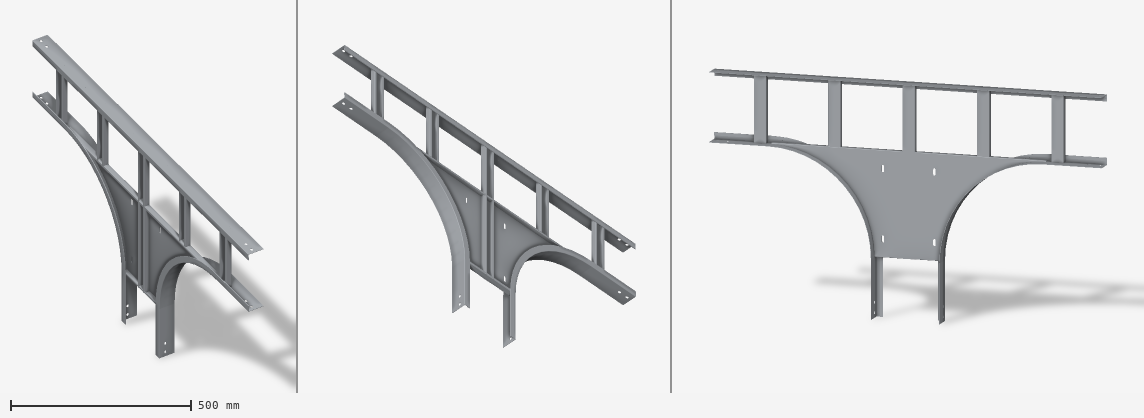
import cadquery as cq


ladder_width = 200.0
branch_width = 200.8
bend_radius = 300.0
straight_end = 172.6
straight_rail_shortfall = 0.8

half_width = ladder_width / 2
half_branch = branch_width / 2
bend_center_x = half_branch + bend_radius
bend_center_z = -half_width - bend_radius
arm_reach = bend_center_x + straight_end
branch_foot_z = bend_center_z - straight_end
straight_rail_length = 2 * arm_reach - straight_rail_shortfall

sheet = 1.2
fold_radius = 1.5
rail_depth = 50.0
flange_width = 20.0
hem_length = 9.0
hem_thickness = 2 * sheet

channel_front = hem_thickness
channel_back = 19.5
channel_middle = (channel_front + channel_back) / 2
lip_width = 7.0
rung_width = 36.0
rung_pitch = 217.0
tray_inset = 4.0
tray_top = -half_width + tray_inset
tray_bottom = bend_center_z

splice_slot_length = 10.0
splice_slot_width = 7.0
splice_slot_y = 20.0
splice_slot_offsets = (15.0, 45.0)

tray_slot_length = 21.0
tray_slot_width = 7.0
tray_slot_x = 75.0
tray_slot_spacing = 200.0


def box(x_range, y_range, z_range):
    """Box spanning the given (low, high) ranges."""
    size = [high - low for low, high in (x_range, y_range, z_range)]
    block = cq.Workplane("XY").box(*size, centered=False)
    return block.translate((x_range[0], y_range[0], z_range[0]))


def rail_section(start_x, web_z, inward):
    """L section in the YZ plane; inward is the Z direction (+1 or -1) of the flange."""

    def point(y, height):
        return (y, web_z + inward * height)

    bend_middle = fold_radius * (1 - 0.5 ** 0.5)
    return (
        cq.Workplane("YZ", origin=(start_x, 0, 0))
        .moveTo(*point(fold_radius, 0))
        .threePointArc(point(bend_middle, bend_middle), point(0, fold_radius))
        .lineTo(*point(0, flange_width))
        .lineTo(*point(hem_thickness, flange_width))
        .lineTo(*point(hem_thickness, flange_width - hem_length))
        .lineTo(*point(sheet, flange_width - hem_length))
        .lineTo(*point(sheet, sheet))
        .lineTo(*point(rail_depth, sheet))
        .lineTo(*point(rail_depth, 0))
        .close()
    )


def straight_rail():
    return rail_section(-arm_reach, half_width, -1).extrude(straight_rail_length)


def bent_rail():
    """Left-hand rail from the arm end, round the bend and down the branch."""
    mid_reach = bend_radius * 0.5 ** 0.5
    path = (
        cq.Workplane("XZ")
        .moveTo(-arm_reach, -half_width)
        .lineTo(-bend_center_x, -half_width)
        .threePointArc(
            (-bend_center_x + mid_reach, bend_center_z + mid_reach),
            (-half_branch, bend_center_z),
        )
        .lineTo(-half_branch, branch_foot_z)
    )
    return rail_section(-arm_reach, -half_width, 1).sweep(path)


def rung(center_x, bottom_z):
    """Lipped channel running up to the web of the straight rail."""
    half = rung_width / 2
    z_range = (bottom_z, half_width - sheet)
    outer = box((center_x - half, center_x + half), (channel_front, channel_back), z_range)
    outer = outer.edges("|Z").fillet(fold_radius)
    inner_half = half - sheet
    cavity = box(
        (center_x - inner_half, center_x + inner_half),
        (channel_front + sheet, channel_back - sheet),
        z_range,
    )
    mouth_half = half - lip_width
    mouth = box((center_x - mouth_half, center_x + mouth_half), (0, channel_middle), z_range)
    return outer.cut(cavity).cut(mouth)


def gusset_tray():
    """Tray between the two bends, with lipped flanges along its top and bottom."""
    reach = (-bend_center_x, bend_center_x)
    outer = box(reach, (channel_front, channel_back), (tray_bottom, tray_top))
    outer = outer.edges("|X").fillet(fold_radius)
    cavity = box(
        reach,
        (channel_front + sheet, channel_back - sheet),
        (tray_bottom + sheet, tray_top - sheet),
    )
    mouth = box(reach, (0, channel_middle), (tray_bottom + lip_width, tray_top - lip_width))
    tray = outer.cut(cavity).cut(mouth)
    for side in (-1, 1):
        bend_space = (
            cq.Workplane("XZ")
            .center(side * bend_center_x, bend_center_z)
            .circle(bend_radius + sheet / 2)
            .extrude(-rail_depth)
        )
        tray = tray.cut(bend_space)
    return tray


def tray_slots():
    middle_z = (tray_top + tray_bottom) / 2
    return (
        cq.Workplane("XZ")
        .center(0, middle_z)
        .rarray(2 * tray_slot_x, tray_slot_spacing, 2, 2)
        .slot2D(tray_slot_length, tray_slot_width, 90)
        .extrude(-rail_depth)
    )


def arm_splice_slots(left_end, right_end, web_z):
    """Cutters through a horizontal web, measured from the given rail ends."""
    places = []
    for offset in splice_slot_offsets:
        places.append((left_end + offset, splice_slot_y))
        places.append((right_end - offset, splice_slot_y))
    return (
        cq.Workplane("XY", origin=(0, 0, web_z))
        .pushPoints(places)
        .slot2D(splice_slot_length, splice_slot_width)
        .extrude(flange_width, both=True)
    )


def branch_splice_slots():
    """Cutters through the webs of both branch legs."""
    places = [(splice_slot_y, branch_foot_z + offset) for offset in splice_slot_offsets]
    return (
        cq.Workplane("YZ")
        .pushPoints(places)
        .slot2D(splice_slot_length, splice_slot_width, 90)
        .extrude(branch_width, both=True)
    )


result = straight_rail()
result = result.union(bent_rail())
result = result.union(bent_rail().mirror("YZ"))
result = result.union(gusset_tray())

result = result.union(rung(0, tray_bottom))
for side in (-1, 1):
    result = result.union(rung(side * rung_pitch, tray_top))
    result = result.union(rung(side * 2 * rung_pitch, -half_width + sheet))

result = result.cut(tray_slots())
result = result.cut(arm_splice_slots(-arm_reach, straight_rail_length - arm_reach, half_width))
result = result.cut(arm_splice_slots(-arm_reach, arm_reach, -half_width))
result = result.cut(branch_splice_slots())